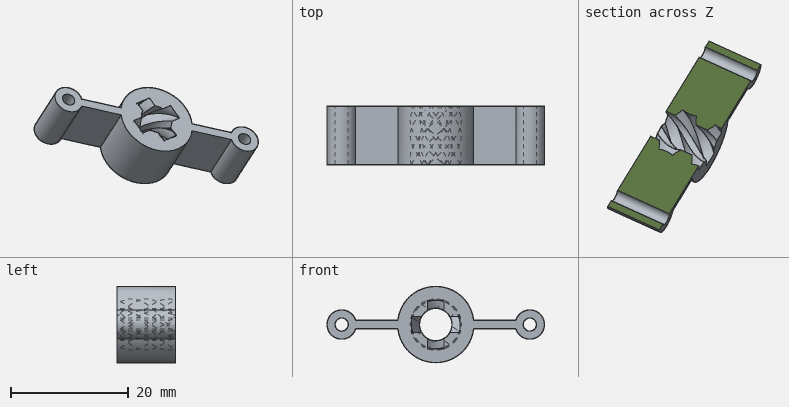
import cadquery as cq

depth = 10.0
hub_diameter = 13.0
ear_diameter = 5.0
ear_hole_diameter = 2.2
ear_offset = 16.0
web_thickness = 1.5

bore_diameter = 5.5
cross_span = 8.25
cross_arm_width = 2.75
cross_lead = 25.0
cross_twist = -360.0 * depth / cross_lead

ear_centres = [(-ear_offset, 0), (ear_offset, 0)]


def face_plane():
    """XZ plane holding the face at Y = 0; a negative extrusion runs toward +Y."""
    return cq.Workplane("XZ")


def make_body():
    """Hub with a flat web reaching an ear on each side."""
    hub = face_plane().circle(hub_diameter / 2).extrude(-depth)
    web = face_plane().rect(2 * ear_offset, web_thickness).extrude(-depth)
    ears = face_plane().pushPoints(ear_centres).circle(ear_diameter / 2).extrude(-depth)
    return hub.union(web).union(ears)


def make_cross():
    """Four-armed cross that twists about the hub axis."""
    tip = cross_span / 2
    side = cross_arm_width / 2
    outline = []
    x_dir, z_dir = 1, 0
    for _ in range(4):
        for along, across in [(tip, -side), (tip, side), (side, side)]:
            outline.append((along * x_dir - across * z_dir, along * z_dir + across * x_dir))
        x_dir, z_dir = -z_dir, x_dir
    return face_plane().polyline(outline).close().twistExtrude(-depth, cross_twist)


def make_holes():
    """Straight bore through the hub and a pin hole through each ear."""
    bore = face_plane().circle(bore_diameter / 2).extrude(-depth)
    ear_holes = face_plane().pushPoints(ear_centres).circle(ear_hole_diameter / 2).extrude(-depth)
    return bore.union(ear_holes)


result = make_body().cut(make_cross()).cut(make_holes())